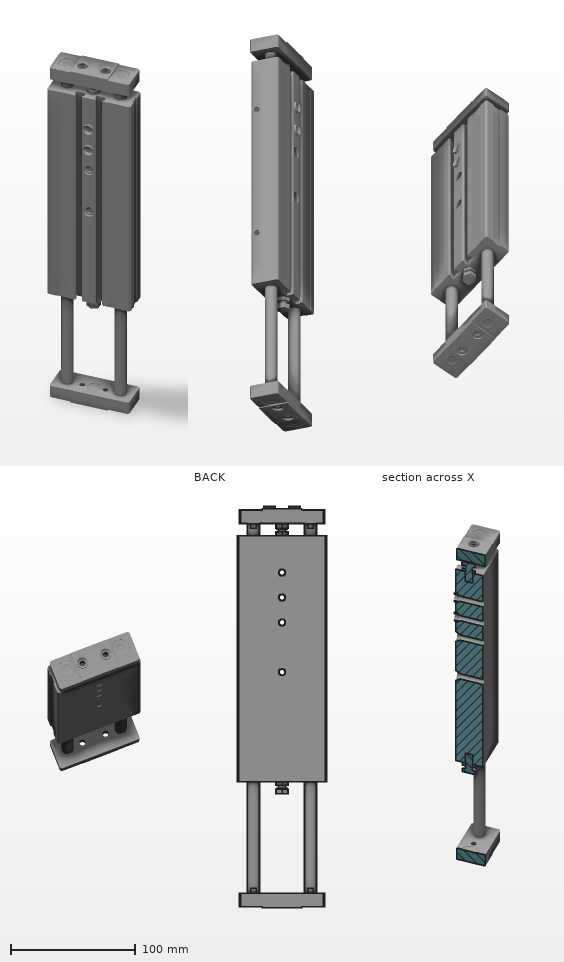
import cadquery as cq
import math


HOUSING_WIDTH = 72.0
HOUSING_DEPTH = 24.0
HOUSING_BOTTOM = 101.5
HOUSING_HEIGHT = 198.0
HOUSING_TOP = HOUSING_BOTTOM + HOUSING_HEIGHT
HOUSING_CHAMFER = 1.3
FRONT_Y = -HOUSING_DEPTH / 2

SLOT_OFFSET = 8.7
SLOT_OPENING = 5.2
SLOT_LIP = 2.0
SLOT_INNER_WIDTH = 8.0
SLOT_DEPTH = 6.0
SLOT_EDGE_CHAMFER = 1.0

STRIP_WIDTH = 9.7
STRIP_DEPTH = 0.3
SIDE_GROOVE_WIDTH = 7.0
SIDE_GROOVE_Y = -0.5
SIDE_GROOVE_DEPTH = 1.0

HOLE_PITCH = 20.0
FIRST_HOLE_Z = 269.7
MOUNTING_HOLE_ZS = [FIRST_HOLE_Z - steps * HOLE_PITCH for steps in (0, 1, 2, 4)]
HOLE_DIAMETER = 5.0
HOLE_ENTRY_DIAMETER = 6.0
HOLE_ENTRY_DEPTH = 4.0

PORT_ZS = [146.0, 255.8]
PORT_Y = 6.8
PORT_DIAMETER = 5.0
PORT_CORE_DIAMETER = 4.2
PORT_THREAD_DEPTH = 1.5
PORT_TIP_DEPTH = 1.3

SLEEVE_DIAMETER = 9.0
SLEEVE_BORE = 6.0
SLEEVE_LENGTH = 4.0
SLEEVE_COUNTERSINK = 1.3
HOUSING_SEAT_DEPTH = SLEEVE_LENGTH / 2
SLEEVED_HOLE_ZS = MOUNTING_HOLE_ZS[:2]

ROD_DIAMETER = 10.0
ROD_SPACING = 46.0
ROD_XS = [-ROD_SPACING / 2, ROD_SPACING / 2]
FLAT_SPACING = 9.0
FLAT_LENGTH = 4.0

PLATE_WIDTH = 68.8
PLATE_DEPTH = 25.0
PLATE_Y = 1.45
PLATE_THICKNESS = 11.0
PLATE_CHAMFER = 1.3
PAD_WIDTH = 32.0
PAD_HEIGHT = 1.0
PLATE_TOTAL = PLATE_THICKNESS + PAD_HEIGHT
SLEEVE_XS = [-HOLE_PITCH / 2, HOLE_PITCH / 2]
SLEEVE_PROJECTION = 2.0
PLATE_SEAT_DEPTH = SLEEVE_LENGTH - SLEEVE_PROJECTION
STRIKE_DIAMETER = 12.0
STRIKE_DEPTH = 0.3
HEAD_RECESS_DIAMETER = 15.0
HEAD_RECESS_DEPTH = 0.3
SOCKET_DIAMETER = 8.0
SOCKET_FLOOR_DIAMETER = 6.0
SOCKET_DEPTH = 0.3

HEX_FLATS = 10.0
HEX_CORNERS = HEX_FLATS / math.cos(math.pi / 6)
STOP_Y = -0.3
NUT_HEIGHT = 3.0
NECK_LENGTH = 3.0
HEAD_HEIGHT = 4.0
SCREW_DIAMETER = 6.0
COLLAR_DIAMETER = 8.0
COLLAR_HEIGHT = 0.5
SCREW_ENGAGEMENT = 10.0
STOP_PROJECTION = NUT_HEIGHT + NECK_LENGTH + HEAD_HEIGHT

TOP_PLATE_BASE = HOUSING_TOP + STOP_PROJECTION
CARRIAGE_TOP = TOP_PLATE_BASE + PLATE_TOTAL
PLATE_SEAT_Z = CARRIAGE_TOP - PLATE_SEAT_DEPTH
MID_Z = HOUSING_BOTTOM + HOUSING_HEIGHT / 2


def block(x_range, y_range, z_range):
    """Box between the given limits."""
    lows, highs = zip(x_range, y_range, z_range)
    size = [high - low for low, high in zip(lows, highs)]
    return cq.Workplane("XY").box(*size, centered=False).translate(lows)


def z_cylinder(diameter, height, x, y, z):
    """Upright cylinder standing on height z."""
    return cq.Workplane("XY", origin=(x, y, z)).circle(diameter / 2).extrude(height)


def y_cylinder(diameter, length, z):
    """Cylinder on the middle plane, running from the housing front toward +Y."""
    return cq.Workplane("XZ", origin=(0, FRONT_Y, z)).circle(diameter / 2).extrude(-length)


def air_port(z):
    """Port in the -X side that ends in a conical floor."""
    surface_x = -HOUSING_WIDTH / 2
    floor_x = surface_x + PORT_THREAD_DEPTH
    section = [
        (surface_x, PORT_Y),
        (surface_x, PORT_Y + PORT_DIAMETER / 2),
        (floor_x, PORT_Y + PORT_DIAMETER / 2),
        (floor_x, PORT_Y + PORT_CORE_DIAMETER / 2),
        (floor_x + PORT_TIP_DEPTH, PORT_Y),
    ]
    plane = cq.Workplane("XY", origin=(0, 0, z))
    return plane.polyline(section).close().revolve(360, (0, PORT_Y), (1, PORT_Y))


def flipped(body):
    """Mirror image of a body about the housing's mid height."""
    return body.mirror("XY", (0, 0, MID_Z))


def sensor_slot(x):
    """T-slot with chamfered mouth, running the full housing height."""
    mouth = SLOT_OPENING / 2
    inner = SLOT_INNER_WIDTH / 2
    half = [
        (mouth + SLOT_EDGE_CHAMFER, 0),
        (mouth, SLOT_EDGE_CHAMFER),
        (mouth, SLOT_LIP),
        (inner, SLOT_LIP),
        (inner, SLOT_DEPTH),
    ]
    outline = half + [(-across, deep) for across, deep in reversed(half)]
    plane = cq.Workplane("XY", origin=(x, FRONT_Y, HOUSING_BOTTOM))
    return plane.polyline(outline).close().extrude(HOUSING_HEIGHT)


def make_housing():
    z_range = (HOUSING_BOTTOM, HOUSING_TOP)
    half_width = HOUSING_WIDTH / 2
    body = block((-half_width, half_width), (FRONT_Y, -FRONT_Y), z_range)
    body = body.edges("|Z").chamfer(HOUSING_CHAMFER)
    for side in (-1, 1):
        body = body.cut(sensor_slot(side * SLOT_OFFSET))
    for x in ROD_XS:
        strip_x = (x - STRIP_WIDTH / 2, x + STRIP_WIDTH / 2)
        body = body.cut(block(strip_x, (FRONT_Y, FRONT_Y + STRIP_DEPTH), z_range))
        body = body.cut(z_cylinder(ROD_DIAMETER, HOUSING_HEIGHT, x, 0, HOUSING_BOTTOM))
    groove_y = (SIDE_GROOVE_Y - SIDE_GROOVE_WIDTH / 2, SIDE_GROOVE_Y + SIDE_GROOVE_WIDTH / 2)
    body = body.cut(block((half_width - SIDE_GROOVE_DEPTH, half_width), groove_y, z_range))
    for z in MOUNTING_HOLE_ZS:
        body = body.cut(y_cylinder(HOLE_DIAMETER, HOUSING_DEPTH, z))
        body = body.cut(y_cylinder(HOLE_ENTRY_DIAMETER, HOLE_ENTRY_DEPTH, z))
        body = body.cut(y_cylinder(SLEEVE_DIAMETER, HOUSING_SEAT_DEPTH, z))
    for z in PORT_ZS:
        body = body.cut(air_port(z))
    for z in (HOUSING_BOTTOM, HOUSING_TOP - SCREW_ENGAGEMENT):
        body = body.cut(z_cylinder(SCREW_DIAMETER, SCREW_ENGAGEMENT, 0, STOP_Y, z))
    return body


def socket_dimple(x, z):
    """Conical dimple with its rim at height z."""
    rim = cq.Workplane("XY", origin=(x, 0, z)).circle(SOCKET_DIAMETER / 2)
    floor = rim.workplane(offset=-SOCKET_DEPTH).circle(SOCKET_FLOOR_DIAMETER / 2)
    return floor.loft(combine=True)


def make_top_plate():
    """Upper end plate, with its raised middle pad upward."""
    base = TOP_PLATE_BASE
    shoulder = base + PLATE_THICKNESS
    y_range = (PLATE_Y - PLATE_DEPTH / 2, PLATE_Y + PLATE_DEPTH / 2)
    plate = block((-PLATE_WIDTH / 2, PLATE_WIDTH / 2), y_range, (base, shoulder))
    plate = plate.edges("|Z").chamfer(PLATE_CHAMFER)
    recess_z = shoulder - HEAD_RECESS_DEPTH
    for x in ROD_XS:
        plate = plate.cut(z_cylinder(HEAD_RECESS_DIAMETER, HEAD_RECESS_DEPTH, x, 0, recess_z))
        plate = plate.cut(socket_dimple(x, recess_z))
    plate = plate.union(block((-PAD_WIDTH / 2, PAD_WIDTH / 2), y_range, (recess_z, CARRIAGE_TOP)))
    for x in SLEEVE_XS:
        plate = plate.cut(z_cylinder(HOLE_DIAMETER, PLATE_TOTAL, x, 0, base))
        plate = plate.cut(z_cylinder(SLEEVE_DIAMETER, PLATE_SEAT_DEPTH, x, 0, PLATE_SEAT_Z))
    return plate.cut(z_cylinder(STRIKE_DIAMETER, STRIKE_DEPTH, 0, STOP_Y, base))


def make_rod(x, bottom, top):
    """Guide rod with two wrench flats at each end."""
    rod = z_cylinder(ROD_DIAMETER, top - bottom, x, 0, bottom)
    for low in (bottom, top - FLAT_LENGTH):
        flat_zone = (low, low + FLAT_LENGTH)
        for side in (-1, 1):
            near, far = sorted((side * FLAT_SPACING / 2, side * ROD_DIAMETER))
            rod = rod.cut(block((x - ROD_DIAMETER, x + ROD_DIAMETER), (near, far), flat_zone))
    return rod


def make_carriage():
    """Two end plates joined rigidly by the two rods."""
    top_plate = make_top_plate()
    bottom_plate = top_plate.mirror("XY", (0, 0, CARRIAGE_TOP / 2))
    carriage = top_plate.union(bottom_plate)
    for x in ROD_XS:
        carriage = carriage.union(make_rod(x, PLATE_TOTAL, TOP_PLATE_BASE))
    return carriage


def make_sleeve():
    """Centring sleeve standing upright on the origin, its bore countersunk at both ends."""
    bore = SLEEVE_BORE / 2
    rim = bore + SLEEVE_COUNTERSINK
    outer = SLEEVE_DIAMETER / 2
    section = [
        (rim, 0),
        (outer, 0),
        (outer, SLEEVE_LENGTH),
        (rim, SLEEVE_LENGTH),
        (bore, SLEEVE_LENGTH - SLEEVE_COUNTERSINK),
        (bore, SLEEVE_COUNTERSINK),
    ]
    return cq.Workplane("XZ").polyline(section).close().revolve(360, (0, 0), (0, 1))


def hexagon(height, z):
    """Hexagonal prism on the stop axis with corners toward +Y and -Y."""
    plane = cq.Workplane("XY", origin=(0, STOP_Y, z)).transformed(rotate=(0, 0, 90))
    return plane.polygon(6, HEX_CORNERS).extrude(height)


def make_top_screw():
    """Stop screw at the top of the housing, head upward."""
    shank_bottom = HOUSING_TOP - SCREW_ENGAGEMENT
    shank_length = SCREW_ENGAGEMENT + NUT_HEIGHT + NECK_LENGTH
    shank = z_cylinder(SCREW_DIAMETER, shank_length, 0, STOP_Y, shank_bottom)
    head_bottom = HOUSING_TOP + NUT_HEIGHT + NECK_LENGTH
    collar_bottom = head_bottom - COLLAR_HEIGHT
    collar = z_cylinder(COLLAR_DIAMETER, COLLAR_HEIGHT, 0, STOP_Y, collar_bottom)
    return shank.union(collar).union(hexagon(HEAD_HEIGHT, head_bottom))


def make_top_nut():
    """Lock nut resting on the top of the housing."""
    nut = hexagon(NUT_HEIGHT, HOUSING_TOP)
    return nut.cut(z_cylinder(SCREW_DIAMETER, NUT_HEIGHT, 0, STOP_Y, HOUSING_TOP))


housing = make_housing()
carriage = make_carriage()

sleeves = []
for hole_z in SLEEVED_HOLE_ZS:
    lying = make_sleeve().rotate((0, 0, 0), (1, 0, 0), 90)
    sleeves.append(lying.translate((0, FRONT_Y + HOUSING_SEAT_DEPTH, hole_z)))
for sleeve_x in SLEEVE_XS:
    sleeves.append(make_sleeve().translate((sleeve_x, 0, PLATE_SEAT_Z)))

top_screw = make_top_screw()
stop_screws = [top_screw, flipped(top_screw)]
top_nut = make_top_nut()
lock_nuts = [top_nut, flipped(top_nut)]

bodies = [housing, carriage] + sleeves + stop_screws + lock_nuts
result = cq.Compound.makeCompound([body.val() for body in bodies])